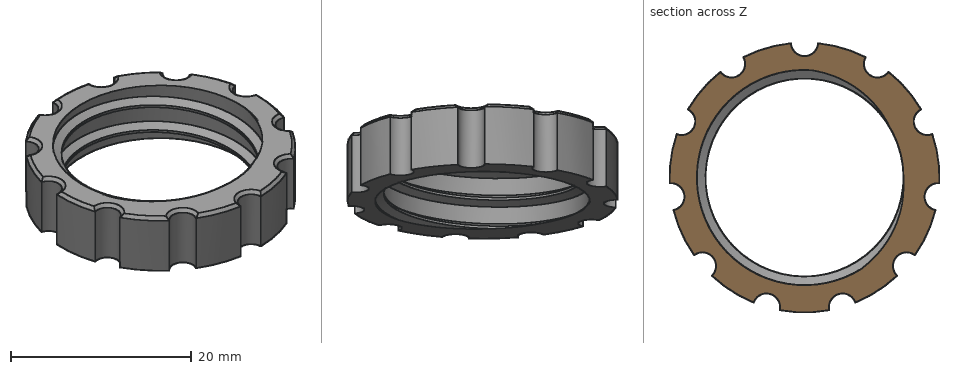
import cadquery as cq
import math

outer_radius = 14.98
height = 7.0
edge_chamfer = 0.4

notch_count = 11
notch_radius = 1.5
first_notch_angle = 90.0

bore_radius = 11.93
crest_radius = 10.97
pitch = 3.3
crest_width = 0.3
ridge_base_width = 1.35
top_crest_angle = 37.0
ridge_overlap = 0.3


def make_ring():
    """Notched ring with its top outer edge chamfered, notches included."""
    disc = cq.Workplane("XY").circle(outer_radius).extrude(height)
    notches = (
        cq.Workplane("XY")
        .polarArray(outer_radius, first_notch_angle, 360, notch_count)
        .circle(notch_radius)
        .extrude(height)
    )
    disc = disc.cut(notches).faces(">Z").edges().chamfer(edge_chamfer)
    return disc.cut(cq.Workplane("XY").circle(bore_radius).extrude(height))


def make_thread():
    """Helical ridge that runs past both end faces and is trimmed flush to them."""
    turns = math.ceil(height / pitch) + 2
    start_z = height - (turns - 1) * pitch
    flank_slope = (ridge_base_width - crest_width) / 2 / (bore_radius - crest_radius)
    half_crest = crest_width / 2
    half_root = ridge_base_width / 2 + flank_slope * ridge_overlap
    root_radius = bore_radius + ridge_overlap

    path = cq.Wire.makeHelix(pitch, turns * pitch, bore_radius)
    ridge = (
        cq.Workplane("XZ")
        .polyline([
            (root_radius, -half_root),
            (crest_radius, -half_crest),
            (crest_radius, half_crest),
            (root_radius, half_root),
        ])
        .close()
        .sweep(cq.Workplane(path), isFrenet=True)
        .rotate((0, 0, 0), (0, 0, 1), top_crest_angle)
        .translate((0, 0, start_z))
    )
    slab = cq.Workplane("XY").circle(outer_radius).extrude(height)
    return ridge.intersect(slab)


result = make_ring().union(make_thread())